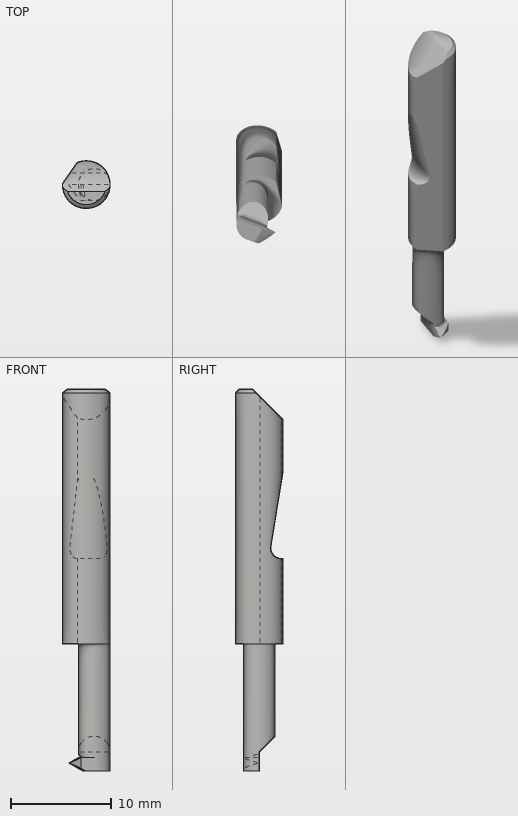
import cadquery as cq
import math

shank_diameter = 4.7625
shank_length = 25.4
neck_diameter = 3.175
neck_length = 12.7
shank_radius = shank_diameter / 2
neck_radius = neck_diameter / 2
total_length = shank_length + neck_length
neck_axis_x = shank_radius - neck_radius

end_chamfer = 0.38
end_slope_height = 3.05
flat_normal_angle = 145
flat_distance = 2.00
notch_floor_z = 21.2
notch_top_z = 29.93
notch_slope_angle = 9.2
notch_fillet = 1.05

relief_height = 1.9
tooth_height = 1.35
tooth_point_x = -1.72
tooth_point_z = 0.81
tooth_half_angle = 30
flank_relief_angle = 5
tooth_heel_x = -0.52
clearance_bulge = 0.08
undercut_angle = 38

margin = 5.0


def prism_along_x(points):
    """Extrude a closed outline of (Y, Z) points through the full width of the part."""
    return cq.Workplane("YZ").polyline(points).close().extrude(margin, both=True)


def prism_along_y(points):
    """Extrude a closed outline of (X, Z) points through the full depth of the part."""
    return cq.Workplane("XZ").polyline(points).close().extrude(margin, both=True)


def flat_cutter():
    """Block whose inner face is the lengthwise flat on the shank."""
    return (
        cq.Workplane("XY")
        .box(margin, 2 * margin, shank_length, centered=(False, True, False))
        .translate((flat_distance, 0, neck_length))
        .rotate((0, 0, 0), (0, 0, 1), flat_normal_angle)
    )


def end_slope_cutter():
    """Wedge for the 45 degree cut across the top end."""
    reach = end_slope_height + margin
    return prism_along_x([
        (shank_radius - end_slope_height - margin, total_length + margin),
        (shank_radius + margin, total_length - reach),
        (shank_radius + margin, total_length + margin),
    ])


def notch_cutter():
    """Clamping notch in the +Y side: level floor, rounded root and a long shallow slope."""
    slope = math.tan(math.radians(notch_slope_angle))
    root_y = shank_radius - (notch_top_z - notch_floor_z) * slope
    outer_y = shank_radius + margin
    wedge = prism_along_x([
        (root_y, notch_floor_z),
        (outer_y, notch_floor_z),
        (outer_y, notch_top_z + margin / slope),
    ])
    return wedge.edges("|X and <Y").fillet(notch_fillet)


def make_shank():
    shank = (
        cq.Workplane("XY")
        .workplane(offset=neck_length)
        .circle(shank_radius)
        .extrude(shank_length)
        .faces(">Z")
        .chamfer(end_chamfer)
    )
    return shank.cut(flat_cutter()).cut(end_slope_cutter()).cut(notch_cutter())


def make_neck():
    """Round neck, halved at its tip by a 45 degree relief and undercut above the tooth."""
    neck = cq.Workplane("XY").center(neck_axis_x, 0).circle(neck_radius).extrude(neck_length)
    relief = prism_along_x([
        (0, -margin),
        (0, relief_height),
        (margin, relief_height + margin),
        (margin, -margin),
    ])
    undercut_rise = margin / math.tan(math.radians(undercut_angle))
    undercut = prism_along_y([
        (tooth_heel_x, -margin),
        (tooth_heel_x, tooth_height),
        (tooth_heel_x - margin, tooth_height + undercut_rise),
        (tooth_heel_x - margin, -margin),
    ])
    return neck.cut(relief).cut(undercut)


def make_tooth():
    """Pointed tooth with its cutting face at Y = 0 and a convex clearance face behind it."""
    chord_x = tooth_heel_x - tooth_point_x
    chord_length = math.hypot(chord_x, neck_radius)
    arc_middle = (
        (tooth_point_x + tooth_heel_x) / 2 - clearance_bulge * neck_radius / chord_length,
        -neck_radius / 2 - clearance_bulge * chord_x / chord_length,
    )
    return (
        cq.Workplane("XY")
        .moveTo(tooth_point_x, 0)
        .threePointArc(arc_middle, (tooth_heel_x, -neck_radius))
        .lineTo(neck_axis_x, -neck_radius)
        .lineTo(neck_axis_x, 0)
        .close()
        .extrude(tooth_height)
    )


def flank_cutter(direction):
    """Wedge outside one tooth flank; direction is +1 for the upper flank, -1 for the lower.

    The wedge is tilted about the flank's cutting edge to give the flank its relief.
    """
    run = tooth_height / math.tan(math.radians(tooth_half_angle))
    outer_z = tooth_point_z + direction * tooth_height
    wedge = prism_along_y([
        (tooth_point_x, tooth_point_z),
        (tooth_point_x + run, outer_z),
        (tooth_point_x - margin, outer_z),
        (tooth_point_x - margin, tooth_point_z),
    ])
    return wedge.rotate(
        (tooth_point_x, 0, tooth_point_z),
        (tooth_point_x + run, 0, outer_z),
        direction * flank_relief_angle,
    )


tooth = make_tooth().cut(flank_cutter(1))
tip = make_neck().union(tooth).cut(flank_cutter(-1))
result = make_shank().union(tip)